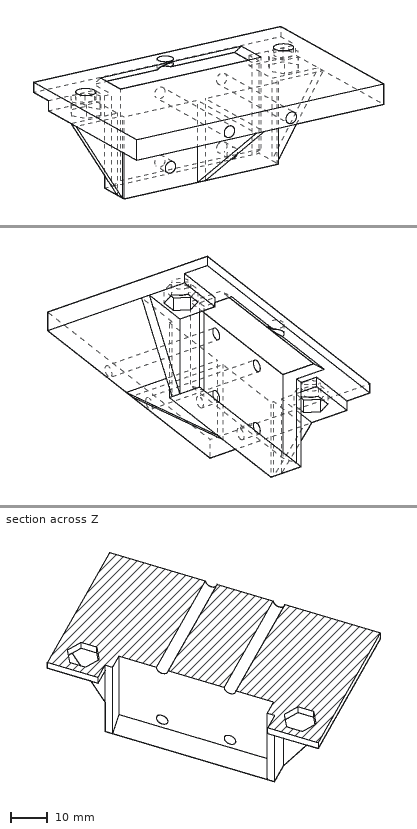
import cadquery as cq
import math

plate_length = 52.5
plate_width = 80.0
plate_thickness = 6.0
lip_thickness = plate_thickness / 2
lip_length = 7.5
total_height = 30.0

box_front = 12.6
box_back = 22.5
box_width = 50.0
side_wall_thickness = 2.2
pocket_width = box_width - 2 * side_wall_thickness
pocket_back = 17.1
sill_rise = 3.2
slot_front = 7.0
slot_flare_front = 3.5

wing_front = 19.0
wing_thickness = 2.6
rib_thickness = wing_thickness

mount_hole_diameter = 5.5
mount_hole_x = 14.0
mount_hole_spacing = 64.0
nut_across_flats = 8.0
nut_depth = 4.0
front_hole_diameter = 4.5
front_hole_x = 4.2
wall_hole_diameter = 3.4
wall_hole_spacing = 20.0
upper_hole_z = -3.8
lower_hole_z = upper_hole_z - wall_hole_spacing


def block(x_start, x_end, width, z_bottom, z_top):
    """Box between two X and two Z positions, centred on Y = 0."""
    return cq.Workplane("XY").box(
        x_end - x_start, width, z_top - z_bottom, centered=(False, True, False)
    ).translate((x_start, 0, z_bottom))


def side_profile(points, width):
    """Prism with an XZ outline, centred on Y = 0."""
    return cq.Workplane("XZ").polyline(points).close().extrude(width / 2, both=True)


def make_plate():
    """Plate with a thin front lip that reaches further back ahead of the box."""
    plate = block(0, plate_length, plate_width, -plate_thickness, 0)
    step = block(0, lip_length, plate_width, -plate_thickness, -lip_thickness)
    box_recess = block(0, box_front, box_width, -plate_thickness, -lip_thickness)
    return plate.cut(step).cut(box_recess)


def make_wings():
    """Pair of tapered wings joining the box sides to the plate ends."""
    half_box = box_width / 2
    half_plate = plate_width / 2
    outline = [
        (-half_plate, -plate_thickness),
        (half_plate, -plate_thickness),
        (half_box, -total_height),
        (-half_box, -total_height),
    ]
    wings = cq.Workplane("YZ").polyline(outline).close().extrude(wing_thickness)
    return wings.translate((wing_front, 0, 0))


def make_back_rib():
    """Central triangular rib between the box back and the plate's rear edge."""
    outline = [
        (box_back, -plate_thickness),
        (plate_length, -plate_thickness),
        (box_back, -total_height),
    ]
    return side_profile(outline, rib_thickness)


def make_pocket():
    """Slot through the plate and open-fronted pocket above a sloping sill.

    The front side of the slot slopes forward to the underside of the lip.
    """
    outline = [
        (slot_front, 0),
        (pocket_back, 0),
        (pocket_back, sill_rise - total_height),
        (box_front, -total_height),
        (slot_flare_front, -total_height),
        (slot_flare_front, -lip_thickness),
    ]
    return side_profile(outline, pocket_width)


def make_plate_holes():
    """Mounting holes with hexagonal nut pockets underneath, and a plain front hole."""
    half_spacing = mount_hole_spacing / 2
    depth = -plate_thickness
    mount_points = [(mount_hole_x, -half_spacing), (mount_hole_x, half_spacing)]
    mounts = cq.Workplane("XY").pushPoints(mount_points).circle(mount_hole_diameter / 2).extrude(depth)
    front = cq.Workplane("XY").center(front_hole_x, 0).circle(front_hole_diameter / 2).extrude(depth)
    nut_across_corners = nut_across_flats / math.cos(math.pi / 6)
    nut = cq.Workplane("XY").polygon(6, nut_across_corners).extrude(nut_depth)
    nut = nut.rotate((0, 0, 0), (0, 0, 1), 90)
    holes = mounts.union(front)
    for x, y in mount_points:
        holes = holes.union(nut.translate((x, y, -plate_thickness)))
    return holes


def make_wall_holes():
    """Four holes running along X from the pocket out through the back."""
    half_spacing = wall_hole_spacing / 2
    points = [(y, z) for y in (-half_spacing, half_spacing) for z in (lower_hole_z, upper_hole_z)]
    holes = cq.Workplane("YZ").pushPoints(points).circle(wall_hole_diameter / 2)
    return holes.extrude(plate_length - pocket_back).translate((pocket_back, 0, 0))


box = block(box_front, box_back, box_width, -total_height, -plate_thickness)
body = make_plate().union(box).union(make_wings()).union(make_back_rib())
result = body.cut(make_pocket()).cut(make_plate_holes()).cut(make_wall_holes())